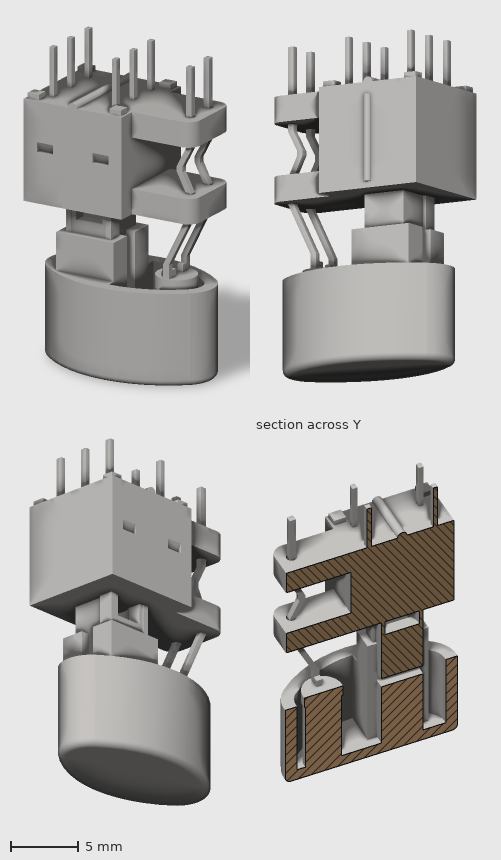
import cadquery as cq
import math

TOTAL_HEIGHT = 24.85

CAP_LENGTH = 14.2
CAP_WIDTH = 8.42
CAP_HEIGHT = 7.3
CAP_END_RADIUS = 2.5
CAP_WALL = 1.0
CAP_FLOOR = 1.0
CAP_EDGE_RADIUS = 0.5

SWITCH_X = -2.53
SOCKET_SIZE = 5.0
SOCKET_TOP = CAP_HEIGHT + 3.03
SOCKET_FLOOR = CAP_HEIGHT - 0.7
SLOT_WIDTH = 1.12

PLUNGER_SIZE = 3.93
PLUNGER_BOTTOM = CAP_HEIGHT + 0.07
PLUNGER_CORE_WIDTH = 3.43
COLUMN_WIDTH = 0.5
COLUMN_DEPTH = 1.2
FRONT_RECESS = 0.07
BORE_DIAMETER = 2.8
BORE_BOTTOM = CAP_HEIGHT + 4.42
WINDOW_WIDTH = 2.3
WINDOW_BOTTOM = BORE_BOTTOM - 0.42

HOUSING_SIZE = 8.5
HOUSING_BOTTOM = 12.97
HOUSING_HEIGHT = 8.0
HOUSING_TOP = HOUSING_BOTTOM + HOUSING_HEIGHT
SPLIT_Z = HOUSING_BOTTOM + HOUSING_HEIGHT / 2
RIDGE_DIAMETER = 0.8
BACK_RIB_RADIUS = 0.3
BACK_RIB_BOTTOM = HOUSING_BOTTOM + 0.47
BACK_RIB_TOP = BACK_RIB_BOTTOM + 6.59
FOOT_LENGTH = 1.0
FOOT_WIDTH = 0.95
FOOT_HEIGHT = 0.45
FOOT_SPACING = 7.1

CATCH_INNER_X = 1.71
CATCH_OUTER_X = 3.1
CATCH_HEIGHT = 0.8
CATCH_DEPTH = 0.4

PIN_LENGTH_X = 0.4
PIN_LENGTH_Y = 0.5
PIN_ROW_SPACING = 5.45
PIN_PITCH = 2.5

BRACKET_END = 7.0
BRACKET_WIDTH = 5.5
BRACKET_THICKNESS = 2.0
BRACKET_CORNER_RADIUS = 1.0
LEAD_HOLE_DIAMETER = 0.8

LAMP_X = 3.93
LAMP_DIAMETER = 3.0
FLANGE_DIAMETER = 3.2
FLANGE_THICKNESS = 1.0
FLANGE_TOP = CAP_HEIGHT + 0.62
LEAD_SIZE = 0.5
LEAD_SPACING = 2.53
LEAD_X = 5.9
LEAD_ZIGZAG_X = 5.1
LEAD_ZIGZAG_LOW = 16.55
LEAD_ZIGZAG_HIGH = 16.95
LEAD_UPPER_BEND = 18.46
LEAD_LOWER_BEND = 9.05
LEAD_TAB_WIDTH = 1.0
LEAD_TAB_HEIGHT = 0.6


def block(size_x, size_y, bottom, top, x=0.0, y=0.0):
    """Upright box centred on (x, y) between two heights."""
    return cq.Workplane("XY", origin=(x, y, bottom)).box(
        size_x, size_y, top - bottom, centered=(True, True, False)
    )


def cylinder(diameter, bottom, top, x=0.0, y=0.0):
    """Upright cylinder on (x, y) between two heights."""
    return cq.Workplane("XY", origin=(x, y, bottom)).circle(diameter / 2).extrude(top - bottom)


def lens(inset, bottom, top):
    """Lens-shaped prism: two wide side arcs joined by tangent end arcs, moved inward by `inset`."""
    end_centre = CAP_LENGTH / 2 - CAP_END_RADIUS
    half_width = CAP_WIDTH / 2
    bulge = half_width - CAP_END_RADIUS
    side_centre = (end_centre**2 - bulge**2) / (2 * bulge)
    centre_distance = math.hypot(end_centre, side_centre)
    end_radius = CAP_END_RADIUS - inset
    joint_x = end_centre + end_radius * end_centre / centre_distance
    joint_y = end_radius * side_centre / centre_distance
    tip_x = CAP_LENGTH / 2 - inset
    side_y = half_width - inset
    return (
        cq.Workplane("XY", origin=(0, 0, bottom))
        .moveTo(-joint_x, -joint_y)
        .threePointArc((0, -side_y), (joint_x, -joint_y))
        .threePointArc((tip_x, 0), (joint_x, joint_y))
        .threePointArc((0, side_y), (-joint_x, joint_y))
        .threePointArc((-tip_x, 0), (-joint_x, -joint_y))
        .close()
        .extrude(top - bottom)
    )


def plunger_profile(bottom, top):
    """Plunger prism: a core with a column standing out at each front corner."""
    core_front = COLUMN_DEPTH - PLUNGER_SIZE / 2
    back = PLUNGER_SIZE / 2
    face = FRONT_RECESS - PLUNGER_SIZE / 2
    prism = block(PLUNGER_CORE_WIDTH, back - face, bottom, top, SWITCH_X, (back + face) / 2)
    for side in (-1, 1):
        column_x = SWITCH_X + side * (PLUNGER_SIZE - COLUMN_WIDTH) / 2
        column_y = core_front - COLUMN_DEPTH / 2
        prism = prism.union(block(COLUMN_WIDTH, COLUMN_DEPTH, bottom, top, column_x, column_y))
    return prism


def make_cup():
    shell = lens(0, 0, CAP_HEIGHT).faces("<Z").edges().fillet(CAP_EDGE_RADIUS)
    pocket = lens(CAP_WALL, CAP_FLOOR, CAP_HEIGHT)
    base = pocket.intersect(block(SOCKET_SIZE, CAP_WIDTH, CAP_FLOOR, CAP_HEIGHT, SWITCH_X))
    tower = block(SOCKET_SIZE, SOCKET_SIZE, CAP_FLOOR, SOCKET_TOP, SWITCH_X)
    socket = base.union(tower).cut(plunger_profile(SOCKET_FLOOR, SOCKET_TOP))
    slot_depth = (SOCKET_SIZE - PLUNGER_CORE_WIDTH) / 2
    for side in (-1, 1):
        slot_x = SWITCH_X + side * (SOCKET_SIZE - slot_depth) / 2
        socket = socket.cut(block(slot_depth, SLOT_WIDTH, CAP_FLOOR, SOCKET_TOP, slot_x))
    return shell.cut(pocket).union(socket)


def make_lead(side):
    """Square lead of constant horizontal thickness, with a tab at its foot toward the other lead."""
    path = [
        (LEAD_X, TOTAL_HEIGHT),
        (LEAD_X, LEAD_UPPER_BEND),
        (LEAD_ZIGZAG_X, LEAD_ZIGZAG_HIGH),
        (LEAD_ZIGZAG_X, LEAD_ZIGZAG_LOW),
        (LEAD_X, HOUSING_BOTTOM + BRACKET_THICKNESS),
        (LEAD_X, HOUSING_BOTTOM),
        (LAMP_X, LEAD_LOWER_BEND),
        (LAMP_X, FLANGE_TOP),
    ]
    left = [(x - LEAD_SIZE / 2, z) for x, z in path]
    right = [(x + LEAD_SIZE / 2, z) for x, z in reversed(path)]
    y = side * LEAD_SPACING / 2
    back_plane = cq.Workplane("XZ", origin=(0, y + LEAD_SIZE / 2, 0))
    strip = back_plane.polyline(left + right).close().extrude(LEAD_SIZE)
    tab_y = side * (LEAD_SPACING + LEAD_SIZE - LEAD_TAB_WIDTH) / 2
    tab = block(LEAD_SIZE, LEAD_TAB_WIDTH, FLANGE_TOP, FLANGE_TOP + LEAD_TAB_HEIGHT, LAMP_X, tab_y)
    return strip.union(tab)


def make_lamp():
    flange_bottom = FLANGE_TOP - FLANGE_THICKNESS
    lamp = cylinder(FLANGE_DIAMETER, flange_bottom, FLANGE_TOP, LAMP_X)
    lamp = lamp.union(cylinder(LAMP_DIAMETER, CAP_FLOOR, flange_bottom, LAMP_X))
    for side in (-1, 1):
        lamp = lamp.union(make_lead(side))
    return lamp


def make_cap():
    return make_cup().union(make_lamp())


def make_bracket(bottom):
    """Plate on the +X side of the housing, with rounded outer corners and two lead holes."""
    start = SWITCH_X + HOUSING_SIZE / 2
    top = bottom + BRACKET_THICKNESS
    plate = block(BRACKET_END - start, BRACKET_WIDTH, bottom, top, (BRACKET_END + start) / 2)
    plate = plate.edges("|Z and >X").fillet(BRACKET_CORNER_RADIUS)
    for side in (-1, 1):
        hole_y = side * LEAD_SPACING / 2
        plate = plate.cut(cylinder(LEAD_HOLE_DIAMETER, bottom, top, LEAD_X, hole_y))
    return plate


def make_catch_window(side):
    """Recess in the front face: flat floor and a back that slopes out to the face at its top."""
    front = -HOUSING_SIZE / 2
    start = SWITCH_X + (CATCH_INNER_X if side > 0 else -CATCH_OUTER_X)
    return (
        cq.Workplane("YZ", origin=(start, 0, 0))
        .polyline([(front, SPLIT_Z), (front + CATCH_DEPTH, SPLIT_Z), (front, SPLIT_Z + CATCH_HEIGHT)])
        .close()
        .extrude(CATCH_OUTER_X - CATCH_INNER_X)
    )


def make_housing():
    housing = block(HOUSING_SIZE, HOUSING_SIZE, HOUSING_BOTTOM, HOUSING_TOP, SWITCH_X)
    ridge = (
        cq.Workplane("XZ", origin=(SWITCH_X, HOUSING_SIZE / 2, HOUSING_TOP))
        .circle(RIDGE_DIAMETER / 2)
        .extrude(HOUSING_SIZE)
    )
    back_rib = cylinder(2 * BACK_RIB_RADIUS, BACK_RIB_BOTTOM, BACK_RIB_TOP, SWITCH_X, HOUSING_SIZE / 2)
    housing = housing.union(ridge).union(back_rib)
    for side in (-1, 1):
        housing = housing.cut(make_catch_window(side))
    for bottom in (HOUSING_BOTTOM, HOUSING_TOP - BRACKET_THICKNESS):
        housing = housing.union(make_bracket(bottom))
    return housing


def add_feet_and_pins(housing):
    for x_side in (-1, 1):
        foot_x = SWITCH_X + x_side * FOOT_SPACING / 2
        for y_side in (-1, 1):
            foot_y = y_side * FOOT_SPACING / 2
            foot = block(FOOT_LENGTH, FOOT_WIDTH, HOUSING_TOP, HOUSING_TOP + FOOT_HEIGHT, foot_x, foot_y)
            housing = housing.union(foot)
        pin_x = SWITCH_X + x_side * PIN_ROW_SPACING / 2
        for row in (-1, 0, 1):
            pin = block(PIN_LENGTH_X, PIN_LENGTH_Y, HOUSING_TOP, TOTAL_HEIGHT, pin_x, row * PIN_PITCH)
            housing = housing.union(pin)
    return housing


def make_plunger():
    """Plunger with a spring bore from the housing down and a window in front of it."""
    window_y = (COLUMN_DEPTH - PLUNGER_SIZE) / 2
    window = block(WINDOW_WIDTH, COLUMN_DEPTH, WINDOW_BOTTOM, HOUSING_BOTTOM, SWITCH_X, window_y)
    plunger = plunger_profile(PLUNGER_BOTTOM, HOUSING_BOTTOM)
    plunger = plunger.cut(cylinder(BORE_DIAMETER, BORE_BOTTOM, HOUSING_BOTTOM, SWITCH_X))
    return plunger.cut(window)


def make_switch():
    return add_feet_and_pins(make_housing()).union(make_plunger())


cap = make_cap()
switch = make_switch()

result = cq.Compound.makeCompound([*cap.solids().vals(), *switch.solids().vals()])